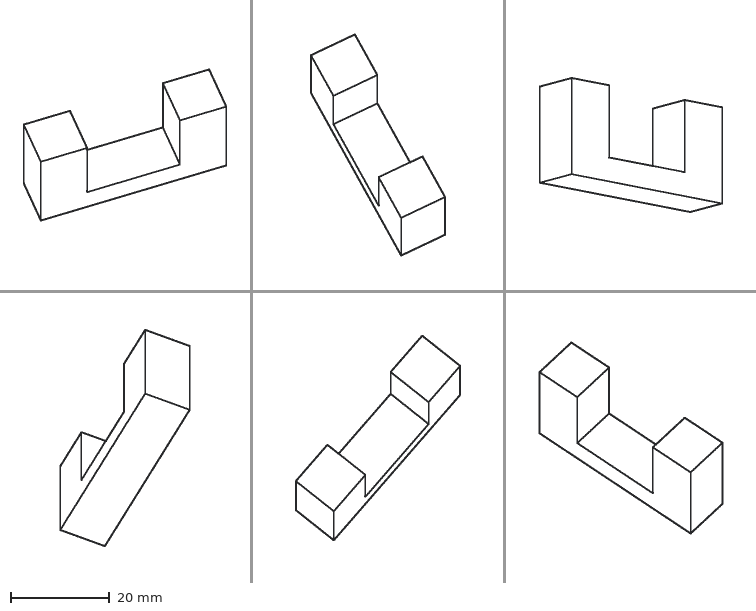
import cadquery as cq

length = 40.0
width = 10.0
height = 20.0
post_length = 10.0
base_thickness = 5.0

gap_length = length - 2 * post_length
gap_depth = height - base_thickness

bar = cq.Workplane("XY").box(width, length, height, centered=(True, True, False))

gap = (
    cq.Workplane("XY")
    .workplane(offset=base_thickness)
    .box(width, gap_length, gap_depth, centered=(True, True, False))
)

result = bar.cut(gap)